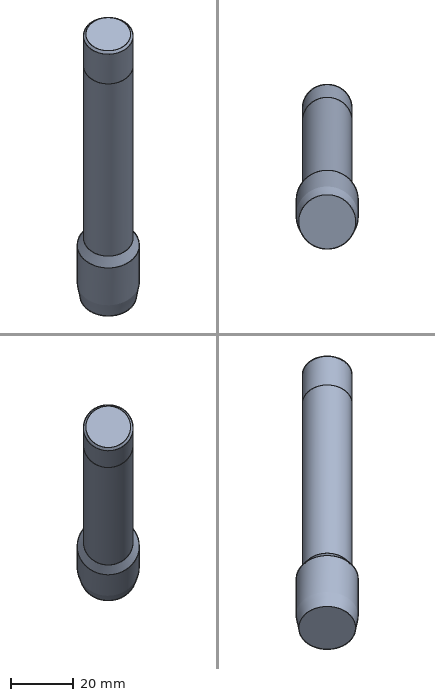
import cadquery as cq
import math

total_length = 125.0
shaft_radius = 8.0

collar_radius = 10.0
lead_in_height = 6.0
lead_in_angle = 8.0
collar_top = 24.0
shoulder_angle = 30.0

cap_length = 15.0
cap_chamfer = 0.8

foot_radius = collar_radius - lead_in_height * math.tan(math.radians(lead_in_angle))
shoulder_height = (collar_radius - shaft_radius) / math.tan(math.radians(shoulder_angle))
shoulder_top = collar_top + shoulder_height
cap_bottom = total_length - cap_length


def turn(half_profile):
    """Revolve a closed (radius, height) outline about the Z axis."""
    return cq.Workplane("XZ").polyline(half_profile).close().revolve(360, (0, 0), (0, 1))


def make_pin():
    """Round shaft standing on a thicker foot."""
    return turn([
        (0, 0),
        (foot_radius, 0),
        (collar_radius, lead_in_height),
        (collar_radius, collar_top),
        (shaft_radius, shoulder_top),
        (shaft_radius, cap_bottom),
        (0, cap_bottom),
    ])


def make_cap():
    """Cylinder flush with the shaft, seated on its end, with a chamfered top rim."""
    return turn([
        (0, cap_bottom),
        (shaft_radius, cap_bottom),
        (shaft_radius, total_length - cap_chamfer),
        (shaft_radius - cap_chamfer, total_length),
        (0, total_length),
    ])


pin = make_pin()
cap = make_cap()

result = cq.Compound.makeCompound([pin.val(), cap.val()])